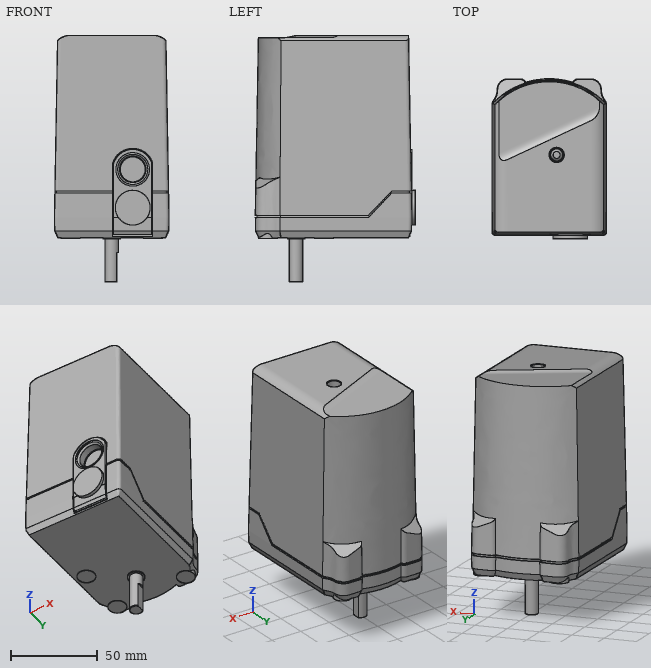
import cadquery as cq
import math


WIDTH = 66.0
HALF_WIDTH = WIDTH / 2
FRONT_Y = -66.6
REAR_Y = 23.6
REAR_RADIUS = 45.5
CORNER_RADIUS = 2.0
BASE_CORNER_RADIUS = 0.1
TOP_Z = 116.5
PARTING_Z = 11.6
BASE_CHAMFER_HEIGHT = 4.0
BASE_CHAMFER_WIDTH = 1.8
DRAFT = math.tan(math.radians(1.0))

CROWN_DIAMETER = 20.0
CROWN_RADIUS = CROWN_DIAMETER / 2
CROWN_FLAT_HALF = 24.0
SUNK_DEPTH = 1.3
STEP_FOOT_Y = -6.4
STEP_ANGLE = 25.0

LUG_REAR_Y = 23.5
LUG_SIDE_X = 30.0
LUG_OUTER_RADIUS = 6.1
LUG_INNER_RADIUS = 3.3
LUG_SIDE_Y = LUG_REAR_Y - LUG_OUTER_RADIUS
LUG_FLAT_INNER_X = 16.6
LUG_HOLLOW_RADIUS = 10.1
LUG_HOLLOW_END_Y = 11.2
LUG_CORE_Y = 7.1
LUG_PEAK_Z = 34.6
LUG_BLANK_Z = 45.5
LUG_SLOPE_X = 0.4
LUG_SLOPE_Y = 0.66

GROOVE_HEIGHT = 1.3
GROOVE_FRONT_HEIGHT = 1.0
GROOVE_DEPTH = 1.0
GROOVE_FRONT_Z = 25.8
GROOVE_RAMP_LOW_Y = -41.6
GROOVE_RAMP_HIGH_Y = -55.1

PLATE_X = 12.0
PLATE_FACE_Y = -66.7
PLATE_HALF_WIDTH = 11.5
PLATE_HEAD_RADIUS = 12.0
PLATE_THICKNESS = 4.3
PLATE_GAP = 0.5
PLATE_GAP_FLOOR_Y = -65.3
PLATE_TOE_LOW = 0.9
PLATE_TOE_HIGH = 2.0
SOCKET_Z = 39.3
SOCKET_RIM_DIAMETER = 19.3
SOCKET_MOUTH_DIAMETER = 17.3
SOCKET_SEAT_DIAMETER = 15.2
SOCKET_BORE_DIAMETER = 14.3
SOCKET_RIM_DEPTH = 0.4
SOCKET_CONE_DEPTH = 1.5
SOCKET_SEAT_DEPTH = 6.1
SOCKET_DEPTH = 6.5
BUTTON_DIAMETER = 20.0
BUTTON_Z = 17.3
BUTTON_HEIGHT = 1.8

SCREW_X = 4.3
SCREW_Y = -20.3
SCREW_HOLE_DIAMETER = 8.0
SCREW_HOLE_DEPTH = 5.7
SCREW_HOLE_CHAMFER = 0.4
SCREW_HEAD_DIAMETER = 7.0
SCREW_TIP_DIAMETER = 4.0
SCREW_HEAD_HEIGHT = 2.1

SHAFT_DIAMETER = 8.0
SHAFT_LENGTH = 25.5
SHAFT_END_CHAMFER = 0.4
SHAFT_FLAT_X = 3.0
SHAFT_FLAT_TOP_Z = -8.5
COLLAR_DIAMETER = 10.1
COLLAR_HEIGHT = 0.9
FOOT_DIAMETER = 11.0
FOOT_HEIGHT = 0.4
FOOT_EMBED = 2.8
FOOT_X = 23.7
FOOT_Y = 16.0

CORNER_Y = REAR_Y - REAR_RADIUS + math.sqrt(REAR_RADIUS**2 - HALF_WIDTH**2)

OVERLAP = 1.4
CLEAR = 142.0


def draft_inset(z):
    """Distance the walls stand inside the parting outline at height z."""
    return abs(z - PARTING_Z) * DRAFT


def base_inset(z):
    """Inset of the chamfered wall below the top of the base chamfer."""
    wall = draft_inset(BASE_CHAMFER_HEIGHT)
    return wall + BASE_CHAMFER_WIDTH * (1 - z / BASE_CHAMFER_HEIGHT)


def drafted_solid(outline, top_z, extra_inset=0.0):
    """Stack ruled lofts of outline(z, inset) from the underside up to top_z."""
    levels = [
        (0.0, base_inset(0.0)),
        (BASE_CHAMFER_HEIGHT, draft_inset(BASE_CHAMFER_HEIGHT)),
        (PARTING_Z, 0.0),
        (top_z, draft_inset(top_z)),
    ]
    wires = [outline(z, inset + extra_inset) for z, inset in levels]
    solid = cq.Workplane("XY")
    for lower, upper in zip(wires, wires[1:]):
        solid = solid.add(cq.Solid.makeLoft([lower, upper], True))
    return solid.combine()


def housing_outline(z, inset):
    """Rectangle with a bowed rear side and front corners that are almost sharp at the base."""
    half = HALF_WIDTH - inset
    front = FRONT_Y + inset
    rear = REAR_Y - inset
    radius = REAR_RADIUS - inset
    side_end = rear - radius + math.sqrt(radius**2 - half**2)
    corner = BASE_CORNER_RADIUS if z == 0 else CORNER_RADIUS
    tangent_y = front + corner
    tangent_x = half - corner
    return (
        cq.Workplane("XY", origin=(0, 0, z))
        .moveTo(-tangent_x, front)
        .lineTo(tangent_x, front)
        .radiusArc((half, tangent_y), -corner)
        .lineTo(half, side_end)
        .threePointArc((0, rear), (-half, side_end))
        .lineTo(-half, tangent_y)
        .radiusArc((-tangent_x, front), -corner)
        .close()
        .val()
    )


def lug_outline(z, inset):
    """Right-hand lug: rounded block whose outer flank flares into the housing side."""
    hollow_drop = LUG_SIDE_Y - LUG_HOLLOW_END_Y
    hollow_x = LUG_SIDE_X + LUG_HOLLOW_RADIUS - math.sqrt(LUG_HOLLOW_RADIUS**2 - hollow_drop**2)
    inner_x = LUG_FLAT_INNER_X - LUG_INNER_RADIUS
    wire = (
        cq.Workplane("XY", origin=(0, 0, z))
        .moveTo(inner_x, LUG_CORE_Y)
        .lineTo(HALF_WIDTH, LUG_CORE_Y)
        .lineTo(HALF_WIDTH, CORNER_Y)
        .lineTo(hollow_x, LUG_HOLLOW_END_Y)
        .radiusArc((LUG_SIDE_X, LUG_SIDE_Y), LUG_HOLLOW_RADIUS)
        .radiusArc((LUG_SIDE_X - LUG_OUTER_RADIUS, LUG_REAR_Y), -LUG_OUTER_RADIUS)
        .lineTo(LUG_FLAT_INNER_X, LUG_REAR_Y)
        .radiusArc((inner_x, LUG_REAR_Y - LUG_INNER_RADIUS), -LUG_INNER_RADIUS)
        .close()
    )
    if inset > 0:
        wire = wire.offset2D(-inset)
    return wire.val()


def make_lug(extra_inset=0.0):
    """Right-hand lug with its top sloping down and outwards from the housing."""
    lug = drafted_solid(lug_outline, LUG_BLANK_Z, extra_inset)
    slope_plane = cq.Plane(
        origin=(HALF_WIDTH, CORNER_Y, LUG_PEAK_Z),
        xDir=(1, 0, -LUG_SLOPE_X),
        normal=(LUG_SLOPE_X, LUG_SLOPE_Y, 1),
    )
    above = cq.Workplane(slope_plane).rect(CLEAR, CLEAR).extrude(CLEAR)
    return lug.cut(above)


def make_shell(extra_inset=0.0):
    """Housing and both lugs."""
    lug = make_lug(extra_inset)
    return drafted_solid(housing_outline, TOP_Z, extra_inset).union(lug).union(lug.mirror("YZ"))


def crown_envelope():
    """Block whose rounded long edges shape the crown of the housing."""
    width = 2 * (CROWN_FLAT_HALF + CROWN_RADIUS)
    return (
        cq.Workplane("XY", origin=(0, 0, TOP_Z))
        .box(width, 2 * CLEAR, 2 * CLEAR, centered=(True, True, False))
        .translate((0, 0, -2 * CLEAR))
        .edges("|Y and >Z")
        .fillet(CROWN_RADIUS)
    )


def sunken_rear():
    """Cutter for the rear field; its front edge is a hollow tangent to the floor."""
    sweep = math.acos(1 - SUNK_DEPTH / CROWN_RADIUS)

    def hollow(angle):
        return (-CROWN_RADIUS * math.sin(angle), CROWN_RADIUS * (1 - math.cos(angle)))

    return (
        cq.Workplane("YZ")
        .moveTo(CLEAR, 0)
        .lineTo(0, 0)
        .threePointArc(hollow(sweep / 2), hollow(sweep))
        .lineTo(hollow(sweep)[0], CLEAR)
        .lineTo(CLEAR, CLEAR)
        .close()
        .extrude(CLEAR, both=True)
        .rotate((0, 0, 0), (0, 0, 1), STEP_ANGLE)
        .translate((0, STEP_FOOT_Y, TOP_Z - SUNK_DEPTH))
    )


def joint_groove():
    """Band that runs around the housing and climbs towards the front on both sides."""
    lower = [
        (CLEAR, PARTING_Z),
        (GROOVE_RAMP_LOW_Y, PARTING_Z),
        (GROOVE_RAMP_HIGH_Y, GROOVE_FRONT_Z),
        (-CLEAR, GROOVE_FRONT_Z),
    ]
    upper = [
        (-CLEAR, GROOVE_FRONT_Z + GROOVE_FRONT_HEIGHT),
        (GROOVE_RAMP_HIGH_Y, GROOVE_FRONT_Z + GROOVE_FRONT_HEIGHT),
        (GROOVE_RAMP_LOW_Y, PARTING_Z + GROOVE_HEIGHT),
        (CLEAR, PARTING_Z + GROOVE_HEIGHT),
    ]
    band = cq.Workplane("YZ").polyline(lower + upper).close().extrude(CLEAR, both=True)
    return band.cut(make_shell(GROOVE_DEPTH))


def plate_prism(low_z, back_y, front_y, inset=0.0):
    """Upright prism with a round head; its sides cut the head circle short of tangency."""
    half_width = PLATE_HALF_WIDTH - inset
    radius = PLATE_HEAD_RADIUS - inset
    shoulder_z = SOCKET_Z + math.sqrt(radius**2 - half_width**2)
    return (
        cq.Workplane("XZ", origin=(PLATE_X, back_y, 0))
        .moveTo(-half_width, low_z)
        .lineTo(half_width, low_z)
        .lineTo(half_width, shoulder_z)
        .threePointArc((0, SOCKET_Z + radius), (-half_width, shoulder_z))
        .close()
        .extrude(back_y - front_y)
    )


def plate_gap():
    """Narrow slot in the front wall around the inlet plate, open at the bottom."""
    outer = plate_prism(PLATE_TOE_HIGH, PLATE_GAP_FLOOR_Y, -CLEAR)
    return outer.cut(plate_prism(PLATE_TOE_HIGH, PLATE_GAP_FLOOR_Y, -CLEAR, PLATE_GAP))


def inlet_plate():
    """Plate standing upright above the parting plane, and its toe on the base chamfer."""
    plate = plate_prism(PARTING_Z, PLATE_FACE_Y + PLATE_THICKNESS, PLATE_FACE_Y, PLATE_GAP)
    toe = cq.Workplane("XY", origin=(PLATE_X, FRONT_Y + base_inset(PLATE_TOE_HIGH), PLATE_TOE_LOW)).box(
        2 * PLATE_HALF_WIDTH, PLATE_THICKNESS, PLATE_TOE_HIGH - PLATE_TOE_LOW, centered=(True, False, False)
    )
    return plate.union(toe)


def socket():
    """Stepped round socket with a conical mouth in the head of the inlet plate."""
    profile = [
        (0, -OVERLAP),
        (SOCKET_RIM_DIAMETER / 2, -OVERLAP),
        (SOCKET_RIM_DIAMETER / 2, SOCKET_RIM_DEPTH),
        (SOCKET_MOUTH_DIAMETER / 2, SOCKET_RIM_DEPTH),
        (SOCKET_SEAT_DIAMETER / 2, SOCKET_CONE_DEPTH),
        (SOCKET_SEAT_DIAMETER / 2, SOCKET_SEAT_DEPTH),
        (SOCKET_BORE_DIAMETER / 2, SOCKET_SEAT_DEPTH),
        (SOCKET_BORE_DIAMETER / 2, SOCKET_DEPTH),
        (0, SOCKET_DEPTH),
    ]
    return (
        cq.Workplane("XY")
        .polyline(profile)
        .close()
        .revolve(360, (0, 0, 0), (0, 1, 0))
        .translate((PLATE_X, PLATE_FACE_Y, SOCKET_Z))
    )


def button():
    """Round blanking button at the foot of the inlet plate."""
    return (
        cq.Workplane("XZ", origin=(PLATE_X, PLATE_FACE_Y - BUTTON_HEIGHT, BUTTON_Z))
        .circle(BUTTON_DIAMETER / 2)
        .extrude(-BUTTON_HEIGHT - OVERLAP)
    )


def screw_hole():
    """Chamfered hole that leaves a cone-shaped screw head standing on its floor."""
    floor_z = TOP_Z - SCREW_HOLE_DEPTH
    radius = SCREW_HOLE_DIAMETER / 2
    profile = [
        (0, floor_z + SCREW_HEAD_HEIGHT),
        (SCREW_TIP_DIAMETER / 2, floor_z + SCREW_HEAD_HEIGHT),
        (SCREW_HEAD_DIAMETER / 2, floor_z),
        (radius, floor_z),
        (radius, TOP_Z - SCREW_HOLE_CHAMFER),
        (radius + SCREW_HOLE_CHAMFER, TOP_Z),
        (0, TOP_Z),
    ]
    return (
        cq.Workplane("XZ")
        .polyline(profile)
        .close()
        .revolve(360, (0, 0, 0), (0, 1, 0))
        .translate((SCREW_X, SCREW_Y, 0))
    )


def shaft():
    """Output shaft with a collar at its root and a flat on the +X side."""
    pin = (
        cq.Workplane("XY", origin=(0, 0, -SHAFT_LENGTH))
        .circle(SHAFT_DIAMETER / 2)
        .extrude(SHAFT_LENGTH + OVERLAP)
        .faces("<Z")
        .chamfer(SHAFT_END_CHAMFER)
    )
    flat = cq.Workplane("XY", origin=(SHAFT_FLAT_X, 0, SHAFT_FLAT_TOP_Z - CLEAR)).box(
        CLEAR, CLEAR, CLEAR, centered=(False, True, False)
    )
    collar = (
        cq.Workplane("XY", origin=(0, 0, -COLLAR_HEIGHT))
        .circle(COLLAR_DIAMETER / 2)
        .extrude(COLLAR_HEIGHT + OVERLAP)
    )
    return pin.cut(flat).union(collar)


def feet():
    """Three round feet: one under each lug and one on the -X side at the front."""
    return (
        cq.Workplane("XY", origin=(0, 0, -FOOT_HEIGHT))
        .pushPoints([(-FOOT_X, FOOT_Y), (FOOT_X, FOOT_Y), (-FOOT_X, -FOOT_Y)])
        .circle(FOOT_DIAMETER / 2)
        .extrude(FOOT_HEIGHT + FOOT_EMBED)
    )


result = (
    make_shell()
    .intersect(crown_envelope())
    .cut(sunken_rear())
    .cut(joint_groove())
    .cut(plate_gap())
    .union(inlet_plate())
    .union(button())
    .cut(socket())
    .cut(screw_hole())
    .union(shaft())
    .union(feet())
)